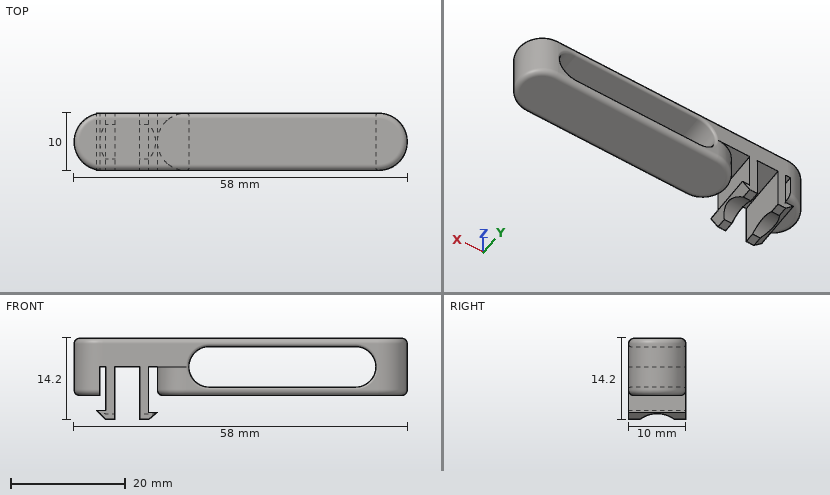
import cadquery as cq
import math

bar_length = 58.0
bar_width = 10.0
bar_height = 10.0
end_radius = bar_width / 2
edge_fillet = 1.0

slot_height = 7.0
slot_rim_fillet = 0.5
slot_start = 20.0
slot_end = bar_length - end_radius - slot_rim_fillet

recess_roof = bar_height / 2
recess_start = 4.5
arm_start = slot_start - slot_rim_fillet - end_radius
arm_length = bar_length - arm_start

leg_bottom = -4.15
first_leg_start = 5.5
first_leg_end = 7.1
second_leg_start = 11.4
second_leg_end = 13.0
first_barb_reach = 1.6
first_barb_height = 1.6
second_barb_reach = 1.5
second_barb_height = 1.25

scallop_radius = 5.0
scallop_half_width = 3.0
scallop_center_drop = math.sqrt(scallop_radius**2 - scallop_half_width**2)


def stadium_prism(start, length, height):
    """Upright prism with semicircular ends, standing on Z = 0."""
    return (
        cq.Workplane("XY")
        .center(start + length / 2, 0)
        .slot2D(length, bar_width)
        .extrude(height)
    )


def make_bar():
    """Full bar with its underside opened between the end block and the arm."""
    bar = stadium_prism(0, bar_length, bar_height)
    bar = bar.faces("<Z or >Z").edges().fillet(edge_fillet)
    recess_length = arm_start + end_radius - recess_start
    recess = cq.Workplane("XY").box(
        recess_length, bar_width, recess_roof, centered=(False, True, False)
    ).translate((recess_start, 0, 0))
    arm = stadium_prism(arm_start, arm_length, recess_roof)
    arm = arm.faces("<Z").edges().fillet(edge_fillet)
    return bar.cut(recess.cut(arm))


def make_slot_cutter():
    """Slot core joined to a plate outside each side face; filleted joints round the rims."""
    slot_length = slot_end - slot_start
    slot_center = (slot_start + slot_end) / 2
    plate_thickness = 1.0
    plate_margin = 2.0
    cutter = (
        cq.Workplane("XZ")
        .center(slot_center, bar_height / 2)
        .slot2D(slot_length, slot_height)
        .extrude(bar_width / 2 + plate_thickness / 2, both=True)
    )
    for side in (-1, 1):
        plate = cq.Workplane("XY").box(
            slot_length + 2 * plate_margin, plate_thickness, slot_height + 2 * plate_margin
        ).translate((slot_center, side * (bar_width + plate_thickness) / 2, bar_height / 2))
        cutter = cutter.union(plate)
    half_length = slot_length / 2 + slot_rim_fillet
    half_height = slot_height / 2 + slot_rim_fillet
    joint_zone = cq.selectors.BoxSelector(
        (slot_center - half_length, -bar_width, bar_height / 2 - half_height),
        (slot_center + half_length, bar_width, bar_height / 2 + half_height),
        boundingbox=True,
    )
    joints = cutter.edges(joint_zone).edges("not |Y")
    return joints.fillet(slot_rim_fillet)


def make_leg(inner_x, outer_x, barb_reach, barb_height):
    """Snap leg, full bar width, with a barb pointing away from the other leg."""
    outward = math.copysign(1, outer_x - inner_x)
    barb_top = leg_bottom + barb_height
    outline = [
        (inner_x, recess_roof),
        (inner_x, leg_bottom),
        (outer_x, leg_bottom),
        (outer_x + outward * barb_reach, barb_top),
        (outer_x, barb_top),
        (outer_x, recess_roof),
    ]
    return cq.Workplane("XZ").polyline(outline).close().extrude(bar_width / 2, both=True)


def make_scallop_cutter():
    """Cylinder along X whose crown arches up into the leg tips."""
    return (
        cq.Workplane("YZ")
        .center(0, leg_bottom - scallop_center_drop)
        .circle(scallop_radius)
        .extrude(bar_length)
    )


first_leg = make_leg(first_leg_end, first_leg_start, first_barb_reach, first_barb_height)
second_leg = make_leg(second_leg_start, second_leg_end, second_barb_reach, second_barb_height)
legs = first_leg.union(second_leg).cut(make_scallop_cutter())

result = make_bar().cut(make_slot_cutter()).union(legs)